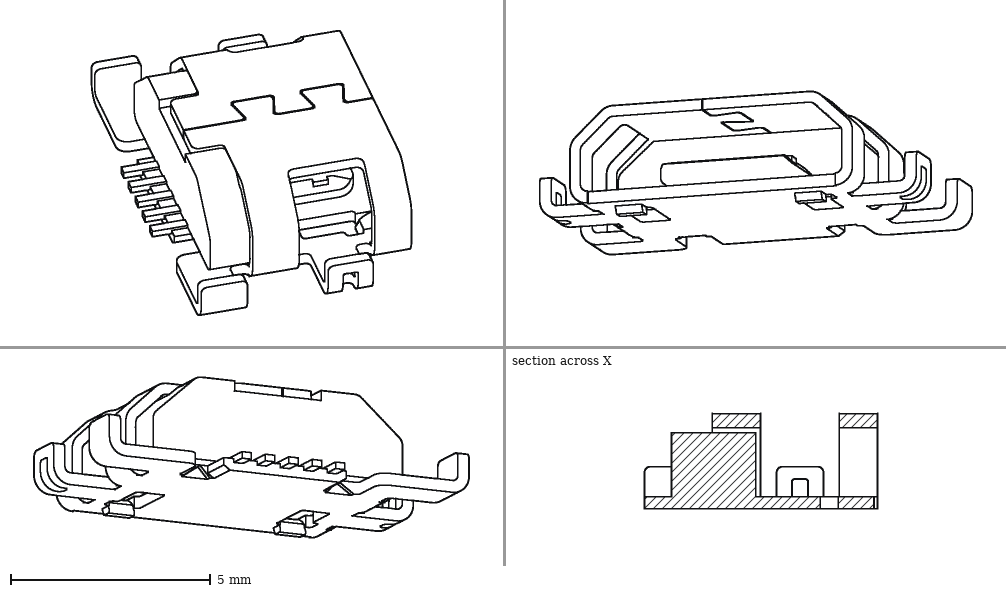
import cadquery as cq
import math

LENGTH_X = 9.95
SHELL_HALF = 3.73
SHELL_DEPTH = 4.15
SHELL_TOP = 2.46
WALL = 0.28
FLOOR = 0.31
SHOULDER_X = 2.78
SHOULDER_Z = 1.57
SHOULDER_R = 0.46
BEND_R = 0.46
FLOOR_LIP_SETBACK = 0.09
FLOOR_LIP_HALF = SHELL_HALF - BEND_R
CLEARANCE = 0.5

WINDOW_BACK = 1.21
WINDOW_FRONT = 3.18
WINDOW_X = 2.58
WINDOW_R = 0.19
NECK_X = 3.29
RELIEF_R = 0.14

FOOT_HEIGHT = 1.06
FOOT_TIP_R = 0.16
SIDE_FOOT_Y = (1.61, 2.8)
REAR_FOOT_Y = (-1.7, -0.49)
REAR_FOOT_X = 2.49
REAR_FOOT_R = 0.3
FOOT_ROOT_R = 0.09
FOOT_HOLE_WIDTH = 0.4
FOOT_HOLE_X = 4.38
FOOT_HOLE_TOP = 0.75
FOOT_HOLE_R = 0.14
FOOT_HOLE_TOP_R = 0.06

SEAM_X = (-0.59, 0.22)
SEAM_GAP = 0.03
SEAM_R = 0.1
DOVETAIL_FLARE = 0.21
DOVETAIL_Y = ((2.43, 3.62), (0.63, 1.8))
REAR_TAB_HALF = 1.09
REAR_TAB_LENGTH = 0.8
REAR_TAB_R = 0.19
TAB_FLARE = 0.12

GROOVE_PROFILE = ((1.63, 0), (1.9, 0.3), (2.35, 0))
GROOVE_DEPTH = 0.15

SLOT_INNER_X = 1.89
SLOT_OUTER_X = 2.68
SLOT_Y = (1.61, 3.17)
SLOT_WIDE_X = 2.87
SLOT_WIDE_Y = 2.71
SLOT_R = 0.09
LATCH_X = (2.02, 2.72)
LATCH_Y = (3.71, 3.17)
LATCH_CREST = (3.51, 0.26)
LATCH_KNEE = (3.27, 0.1)
LATCH_TIP_Z = -0.1
LATCH_DROP = 0.19
LATCH_TOE = (3.21, -LATCH_DROP)
LATCH_HEEL_Y = 3.48
LATCH_HEEL_TOP_Y = 3.59

BODY_HALF = SHELL_HALF - WALL
BODY_TOP = 2.44
BODY_REAR = -1.02
BODY_FRONT = 1.09
BODY_SHOULDER_X = 2.23
BODY_SHOULDER_Z = 1.36
BODY_R = 0.29
BODY_FOOT_R = 0.26
TAB_POCKET_HALF = 1.19
LEDGE_HALF = 1.69
LEDGE_REAR = -1.45
LEDGE_CHAMFER = (0.12, 0.17)

TONGUE_HALF = 1.74
TONGUE_FRONT = 3.31
TONGUE_NOSE_R = 0.48
NOSE_SLOPE_Y = 2.74
NOSE_SLOPE_ANGLE = 15
LUG_Y = (2.2, 2.59)
LUG_HEIGHT = 0.14
TONGUE_Z = (0.62, 1.2)
TONGUE_CHAMFER = 0.27
TONGUE_R = 0.17

PIN_COUNT = 5
PIN_PITCH = 0.65
PIN_WIDTH = 0.26
PIN_Z = (0.21, 0.38)
PIN_REAR = -1.95


def box(x_range, y_range, z_range):
    """Box spanning the three given ranges."""
    size = [high - low for low, high in (x_range, y_range, z_range)]
    corner = (x_range[0], y_range[0], z_range[0])
    return cq.Workplane("XY").box(*size, centered=False).translate(corner)


def both_sides(solid):
    """The solid together with its mirror image across x = 0."""
    return solid.union(solid.mirror("YZ"))


def extrude_y(profile, y_range):
    """Extrude an XZ profile between two y positions."""
    return profile.extrude(y_range[0] - y_range[1]).translate((0, y_range[0], 0))


def edges_above(height):
    """Selector for the edges centred at or above a height."""
    margin = 0.01
    return cq.selectors.BoxSelector(
        (-LENGTH_X, -LENGTH_X, height - margin),
        (LENGTH_X, LENGTH_X, LENGTH_X),
    )


def hood(half, bottom, top, shoulder_x, shoulder_z, y_range, shoulder_r, foot_r):
    """Prism with vertical sides, sloped shoulders and rounded long edges."""
    outline = cq.Workplane("XZ").polyline([
        (-half, bottom),
        (half, bottom),
        (half, shoulder_z),
        (shoulder_x, top),
        (-shoulder_x, top),
        (-half, shoulder_z),
    ]).close()
    prism = extrude_y(outline, y_range)
    rounded = prism.edges("|Y and <Z").fillet(foot_r)
    return rounded.edges(edges_above(shoulder_z)).edges("|Y").fillet(shoulder_r)


def shell_tube():
    """Bent sheet tube, open at both ends."""
    depth = (0, SHELL_DEPTH)
    outside = hood(SHELL_HALF, 0, SHELL_TOP, SHOULDER_X, SHOULDER_Z, depth, SHOULDER_R, BEND_R)
    slope = math.atan2(SHELL_TOP - SHOULDER_Z, SHELL_HALF - SHOULDER_X)
    inner_x = SHOULDER_X - WALL * math.tan(slope / 2)
    inner_z = SHOULDER_Z - WALL * math.tan((math.pi / 2 - slope) / 2)
    inside = hood(SHELL_HALF - WALL, FLOOR, SHELL_TOP - WALL, inner_x, inner_z, depth,
                  SHOULDER_R - WALL, BEND_R - WALL)
    lip_y = (SHELL_DEPTH - FLOOR_LIP_SETBACK, SHELL_DEPTH)
    setback = box((-FLOOR_LIP_HALF, FLOOR_LIP_HALF), lip_y, (0, FLOOR))
    return outside.cut(inside).cut(setback)


def side_window():
    """Opening through one side of the shell, keeping the floor up to the neck."""
    window_y = (WINDOW_BACK, WINDOW_FRONT)
    above = box((WINDOW_X, LENGTH_X / 2), window_y, (FLOOR, SHELL_TOP + CLEARANCE))
    above = above.edges("|Z and <X").fillet(WINDOW_R)
    outside = box((NECK_X, LENGTH_X / 2), window_y, (-CLEARANCE, SHELL_TOP + CLEARANCE))
    return above.union(outside)


def bent_foot(inner_x, y_range):
    """Floor strip running outward and bent up at its tip."""
    outer = LENGTH_X / 2
    inside = outer - FLOOR
    inner_r = BEND_R - FLOOR
    profile = (
        cq.Workplane("XZ")
        .moveTo(inner_x, 0)
        .lineTo(outer - BEND_R, 0)
        .radiusArc((outer, BEND_R), -BEND_R)
        .lineTo(outer, FOOT_HEIGHT)
        .lineTo(inside, FOOT_HEIGHT)
        .lineTo(inside, BEND_R)
        .radiusArc((inside - inner_r, FLOOR), inner_r)
        .lineTo(inner_x, FLOOR)
        .close()
    )
    foot = extrude_y(profile, y_range)
    return foot.edges("|X and >Z").fillet(FOOT_TIP_R)


def side_foot():
    """Foot beside the shell, pierced at its bend."""
    foot = bent_foot(NECK_X - CLEARANCE, SIDE_FOOT_Y)
    middle = sum(SIDE_FOOT_Y) / 2
    hole_y = (middle - FOOT_HOLE_WIDTH / 2, middle + FOOT_HOLE_WIDTH / 2)
    hole = box((FOOT_HOLE_X, LENGTH_X / 2 + CLEARANCE), hole_y, (-CLEARANCE, FOOT_HOLE_TOP))
    hole = hole.edges("|Z and <X").fillet(FOOT_HOLE_R).edges("|X and >Z").fillet(FOOT_HOLE_TOP_R)
    return foot.cut(hole)


def corner_web(x, y):
    """Concave fillet where a rear foot leaves the floor edge."""
    web = (
        cq.Workplane("XY")
        .moveTo(x, y)
        .lineTo(x - FOOT_ROOT_R, y)
        .radiusArc((x, y - FOOT_ROOT_R), FOOT_ROOT_R)
        .close()
    )
    return web.extrude(FLOOR)


def rear_foot():
    """Foot behind the shell."""
    foot = bent_foot(REAR_FOOT_X, REAR_FOOT_Y)
    foot = foot.edges("|Z and <X and <Y").fillet(REAR_FOOT_R)
    return foot.union(corner_web(REAR_FOOT_X, REAR_FOOT_Y[1]))


def foot_reliefs():
    """Round the inner corners of the gaps between the feet and the shell."""
    fillers = cq.Workplane("XY")
    gaps = (
        (WINDOW_BACK, SIDE_FOOT_Y[0]),
        (SIDE_FOOT_Y[1], WINDOW_FRONT),
        (REAR_FOOT_Y[1], 0),
    )
    for gap in gaps:
        block = box((NECK_X, NECK_X + RELIEF_R), gap, (0, FLOOR))
        opening = box((NECK_X, NECK_X + CLEARANCE), gap, (0, FLOOR)).edges("|Z and <X").fillet(RELIEF_R)
        fillers = fillers.union(block.cut(opening))
    return fillers


def apron():
    """Floor strip joining the rear feet, grooved from below beside the ledge."""
    strip = box((-NECK_X, NECK_X), (REAR_FOOT_Y[1], 0), (0, FLOOR))
    groove = cq.Workplane("XZ").polyline(GROOVE_PROFILE).close()
    groove_y = (REAR_FOOT_Y[1], REAR_FOOT_Y[1] + GROOVE_DEPTH)
    return strip.cut(both_sides(extrude_y(groove, groove_y)))


def tab_plate(half, length):
    """Plate one wall thick reaching back from the top sheet, flared at its root."""
    root = half + TAB_FLARE
    return (
        cq.Workplane("XY", origin=(0, 0, SHELL_TOP - WALL))
        .moveTo(-half, -length)
        .lineTo(half, -length)
        .lineTo(half, -TAB_FLARE)
        .radiusArc((root, 0), TAB_FLARE)
        .lineTo(root, WALL)
        .lineTo(-root, WALL)
        .lineTo(-root, 0)
        .radiusArc((-half, -TAB_FLARE), TAB_FLARE)
        .close()
        .extrude(WALL)
    )


def rear_tab():
    """Tab of the top sheet lying over the insulator."""
    return tab_plate(REAR_TAB_HALF, REAR_TAB_LENGTH).edges("|Z and <Y").fillet(REAR_TAB_R)


def seam():
    """Narrow dovetailed gap where the two ends of the sheet meet."""
    tail_x, root_x = SEAM_X
    path = [(root_x, SHELL_DEPTH + CLEARANCE)]
    for low, high in DOVETAIL_Y:
        path += [
            (root_x, high - DOVETAIL_FLARE),
            (tail_x, high),
            (tail_x, low),
            (root_x, low + DOVETAIL_FLARE),
        ]
    path += [(root_x, -REAR_TAB_LENGTH - CLEARANCE)]
    path += [(LENGTH_X, path[-1][1]), (LENGTH_X, path[0][1])]
    outline = cq.Workplane("XY").polyline(path).close()
    inner_plate = outline.offset2D(-SEAM_GAP, "intersection").extrude(WALL).edges("|Z").fillet(SEAM_R)
    half_plate = cq.Workplane("XY").polyline(path).close().extrude(WALL).edges("|Z").fillet(SEAM_R)
    return half_plate.cut(inner_plate).translate((0, 0, SHELL_TOP - WALL))


def floor_slot():
    """Opening in the floor, wider at its mouth end."""
    rear_y, front_y = SLOT_Y
    outline = cq.Workplane("XY", origin=(0, 0, -CLEARANCE)).polyline([
        (SLOT_INNER_X, rear_y),
        (SLOT_OUTER_X, rear_y),
        (SLOT_OUTER_X, SLOT_WIDE_Y),
        (SLOT_WIDE_X, SLOT_WIDE_Y),
        (SLOT_WIDE_X, front_y),
        (SLOT_INNER_X, front_y),
    ]).close()
    return outline.extrude(FLOOR + 2 * CLEARANCE).edges("|Z").fillet(SLOT_R)


def latch():
    """Floor lip bent down below the floor at the mouth end of the slot."""
    root_y, tip_y = LATCH_Y
    lip = (
        cq.Workplane("YZ", origin=(LATCH_X[0], 0, 0))
        .moveTo(root_y, FLOOR)
        .threePointArc(LATCH_CREST, LATCH_KNEE)
        .lineTo(tip_y, LATCH_TIP_Z)
        .tangentArcPoint(LATCH_TOE, relative=False)
        .lineTo(LATCH_HEEL_Y, -LATCH_DROP)
        .lineTo(LATCH_HEEL_TOP_Y, 0)
        .lineTo(root_y, 0)
        .close()
    )
    return lip.extrude(LATCH_X[1] - LATCH_X[0])


def latch_gap():
    """Part of the floor taken up by the bent lip."""
    return box(LATCH_X, (SLOT_Y[1] - SLOT_R, LATCH_Y[0]), (-CLEARANCE, FLOOR + CLEARANCE))


def insulator():
    """Plastic block behind the shell, its plug inside it and the rear ledge."""
    body_y = (BODY_REAR, BODY_FRONT)
    full = hood(BODY_HALF, FLOOR, BODY_TOP, BODY_SHOULDER_X, BODY_SHOULDER_Z, body_y, BODY_R, BODY_FOOT_R)
    under_top = box((-SHELL_HALF, SHELL_HALF), (0, BODY_FRONT), (SHELL_TOP - WALL, SHELL_TOP))
    pocket = tab_plate(TAB_POCKET_HALF, -BODY_REAR)
    ledge = box((-LEDGE_HALF, LEDGE_HALF), (LEDGE_REAR, 0), (0, FLOOR))
    ledge = ledge.edges("|Y and <Z").chamfer(*LEDGE_CHAMFER)
    return full.cut(under_top).cut(pocket).union(ledge)


def tongue():
    """Contact tongue reaching from the plug towards the mouth, with a rounded, sloped nose."""
    high = TONGUE_Z[1]
    bar = box((-TONGUE_HALF, TONGUE_HALF), (0, TONGUE_FRONT), TONGUE_Z)
    bar = bar.edges("|Z and >Y").fillet(TONGUE_NOSE_R).faces("<Z").edges().fillet(TONGUE_R)
    ridge = box((-TONGUE_HALF, TONGUE_HALF), (0, TONGUE_FRONT), TONGUE_Z)
    ridge = ridge.edges("|Y and >Z").chamfer(TONGUE_CHAMFER)
    nose_drop = (TONGUE_FRONT - NOSE_SLOPE_Y) * math.tan(math.radians(NOSE_SLOPE_ANGLE))
    nose = (
        cq.Workplane("YZ", origin=(-TONGUE_HALF, 0, 0))
        .polyline([(NOSE_SLOPE_Y, high), (TONGUE_FRONT, high), (TONGUE_FRONT, high - nose_drop)])
        .close()
        .extrude(2 * TONGUE_HALF)
    )
    lug_half = TONGUE_HALF - TONGUE_CHAMFER + LUG_HEIGHT
    lugs = box((-lug_half, lug_half), LUG_Y, (high - LUG_HEIGHT, high))
    return bar.intersect(ridge).cut(nose).union(lugs)


def pins():
    """Row of contact tails."""
    row = cq.Workplane("XY")
    for index in range(PIN_COUNT):
        centre = (index - (PIN_COUNT - 1) / 2) * PIN_PITCH
        row = row.union(box((centre - PIN_WIDTH / 2, centre + PIN_WIDTH / 2), (PIN_REAR, 0), PIN_Z))
    return row


shell = shell_tube().cut(both_sides(side_window()))
for part in (side_foot(), rear_foot(), foot_reliefs()):
    shell = shell.union(both_sides(part))
shell = shell.union(apron()).union(rear_tab()).cut(seam())
for opening in (floor_slot(), latch_gap()):
    shell = shell.cut(both_sides(opening))
shell = shell.union(both_sides(latch()))

result = shell.union(insulator()).union(tongue()).union(pins())